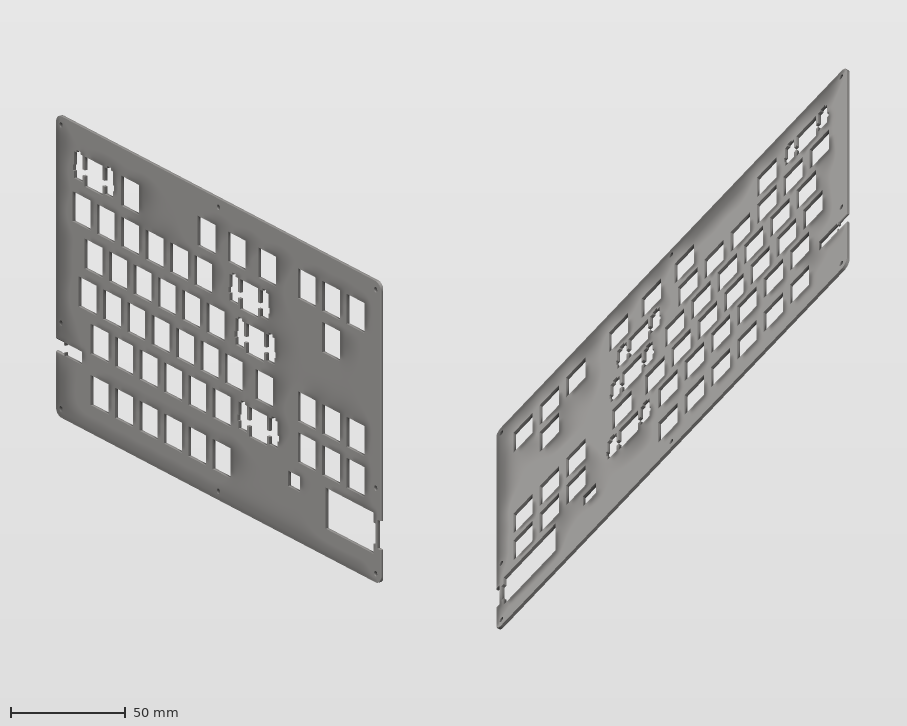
import cadquery as cq

plate_width = 254.3
plate_height = 140.0
plate_thickness = 1.5
face_y = plate_thickness / 2
corner_radius = 4.0

screw_diameter = 2.5
screw_inset = 4.0
screw_x = plate_width / 2 - screw_inset
screw_z = plate_height / 2 - screw_inset
side_screw_z = -26.2

key_pitch = 19.0
key_size = 14.0
first_key_x = -97.7
first_key_z = 50.0
bottom_row = 5.25
navigation_x = 69.2

stabiliser_offset = 12.0
stabiliser_width = 6.5
stabiliser_top = 6.9
stabiliser_bottom = -5.5
stabiliser_tab_width = 3.0
stabiliser_tab_rise = 1.2
wire_slot_width = 32.3
wire_slot_top = 0.5
wire_slot_bottom = -2.3

window_left = 84.0
window_right = 121.3
window_bottom = -57.2
window_top = -38.1
window_step_depth = 1.5
window_step_bottom = -52.6
window_step_top = -42.7

edge_notch_depth = 2.8
edge_notch_bottom = -54.0
edge_notch_top = -40.5

port_x = 59.3
port_z = -43.0
port_width = 9.5
port_height = 7.0

slot_z = -37.5
mouth_length = 6.4
mouth_height = 5.3
neck_length = 0.8
neck_height = 3.3
pocket_end = 20.3
pocket_height = 6.0


def cutter(left, right, bottom, top):
    """Block that passes through the plate between the given X and Z limits."""
    depth = 3 * plate_thickness
    size = (right - left, depth, top - bottom)
    center = ((left + right) / 2, 0, (bottom + top) / 2)
    return cq.Workplane("XY").box(*size).translate(center)


def centered_cutter(x, z, width, height):
    """Through block centred on a point of the plate."""
    return cutter(x - width / 2, x + width / 2, z - height / 2, z + height / 2)


def key_place(column, row):
    """Centre of a key given in key units."""
    return first_key_x + column * key_pitch, first_key_z - row * key_pitch


def stabilised_key_parts(x, z):
    """Blocks for a wide key: wire slot plus two tabbed stabiliser openings."""
    half_slot = wire_slot_width / 2
    half_tab = stabiliser_tab_width / 2
    half_width = stabiliser_width / 2
    top = z + stabiliser_top
    bottom = z + stabiliser_bottom
    parts = [cutter(x - half_slot, x + half_slot, z + wire_slot_bottom, z + wire_slot_top)]
    for side in (-1, 1):
        middle = x + side * stabiliser_offset
        parts.append(cutter(middle - half_width, middle + half_width, bottom, top))
        parts.append(cutter(middle - half_tab, middle + half_tab, bottom, top + stabiliser_tab_rise))
    return parts


left_edge = -plate_width / 2
right_edge = plate_width / 2

plate = cq.Workplane("XY").box(plate_width, plate_thickness, plate_height)
plate = plate.edges("|Y").fillet(corner_radius)

round_start = right_edge - face_y
rounded_section = (
    cq.Workplane("XY")
    .moveTo(left_edge, -face_y)
    .lineTo(round_start, -face_y)
    .threePointArc((right_edge, 0), (round_start, face_y))
    .lineTo(left_edge, face_y)
    .close()
)
plate = plate.intersect(rounded_section.extrude(plate_height / 2, both=True))

screw_places = [(x, z) for x in (-screw_x, 0, screw_x) for z in (-screw_z, screw_z)]
screw_places += [(-screw_x, side_screw_z), (screw_x, side_screw_z)]
screws = cq.Workplane("XZ").pushPoints(screw_places).circle(screw_diameter / 2)
plate = plate.cut(screws.extrude(plate_thickness, both=True))

wide_keys = [(0, 0), (6.375, 1), (6.625, 2), (6.75, 4)]
plain_keys = [(column, 0) for column in (1.5, 4.625, 5.875, 7.125)]
plain_keys += [(column - 0.5, 1) for column in range(6)]
plain_keys += [(column, 2) for column in range(6)]
plain_keys += [(column - 0.25, 3) for column in range(7)] + [(7, 3)]
plain_keys += [(column + 0.25, row) for row in (4, bottom_row) for column in range(6)]
key_centers = [key_place(column, row) for column, row in wide_keys + plain_keys]

navigation_keys = [(column, row) for row in (0, 3, 4) for column in range(3)] + [(1, 1)]
for column, row in navigation_keys:
    key_centers.append((navigation_x + column * key_pitch, first_key_z - row * key_pitch))

openings = [centered_cutter(x, z, key_size, key_size) for x, z in key_centers]
for column, row in wide_keys:
    openings += stabilised_key_parts(*key_place(column, row))

step_right = window_right + window_step_depth
openings.append(cutter(window_left, window_right, window_bottom, window_top))
openings.append(cutter(window_left, step_right, window_step_bottom, window_step_top))
openings.append(cutter(right_edge - edge_notch_depth, right_edge, edge_notch_bottom, edge_notch_top))

openings.append(centered_cutter(port_x, port_z, port_width, port_height))

mouth_end = left_edge + mouth_length
pocket_start = mouth_end + neck_length
half_neck = neck_height / 2
half_pocket = pocket_height / 2
openings.append(cutter(left_edge, pocket_start, slot_z - half_neck, slot_z + half_neck))
openings.append(cutter(pocket_start, left_edge + pocket_end, slot_z - half_pocket, slot_z + half_pocket))

half_mouth = mouth_height / 2
half_flare = half_mouth + face_y
mouth = (
    cq.Workplane("YZ")
    .moveTo(-face_y, half_flare)
    .threePointArc((0, half_mouth), (face_y, half_flare))
    .lineTo(face_y, -half_flare)
    .threePointArc((0, -half_mouth), (-face_y, -half_flare))
    .close()
    .extrude(mouth_length)
)
openings.append(mouth.translate((left_edge, 0, slot_z)))

for opening in openings:
    plate = plate.cut(opening)

result = plate